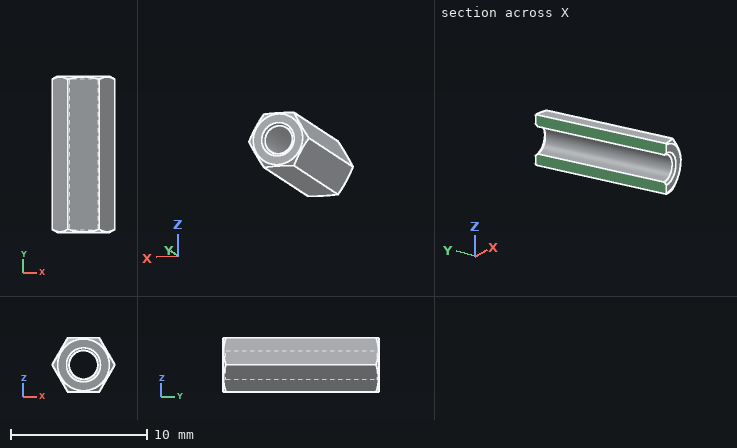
import cadquery as cq
import math

across_flats = 4.0
length = 11.5
bore_diameter = 2.1
bore_mouth_diameter = 2.5
end_face_diameter = 3.8
corner_chamfer_angle = 30.0
bore_chamfer_angle = 45.0

across_corners = across_flats / math.cos(math.radians(30))
half_length = length / 2


def hexagonal_bar():
    """Hexagonal bar centred on the origin, with corners pointing along X."""
    return cq.Workplane("XZ").polygon(6, across_corners).extrude(half_length, both=True)


def cone_ended_cylinder(middle_diameter, end_diameter, cone_angle):
    """Full-length body turned about Y: a cylinder that changes diameter in a cone at each end."""
    middle_radius = middle_diameter / 2
    end_radius = end_diameter / 2
    cone_depth = abs(middle_radius - end_radius) * math.tan(math.radians(cone_angle))
    straight_end = half_length - cone_depth
    return (
        cq.Workplane("XY")
        .moveTo(0, -half_length)
        .lineTo(end_radius, -half_length)
        .lineTo(middle_radius, -straight_end)
        .lineTo(middle_radius, straight_end)
        .lineTo(end_radius, half_length)
        .lineTo(0, half_length)
        .close()
        .revolve(360, (0, 0, 0), (0, 1, 0))
    )


envelope_diameter = 2 * across_corners
corner_envelope = cone_ended_cylinder(envelope_diameter, end_face_diameter, corner_chamfer_angle)

countersunk_bore = cone_ended_cylinder(bore_diameter, bore_mouth_diameter, bore_chamfer_angle)

result = hexagonal_bar().intersect(corner_envelope).cut(countersunk_bore)